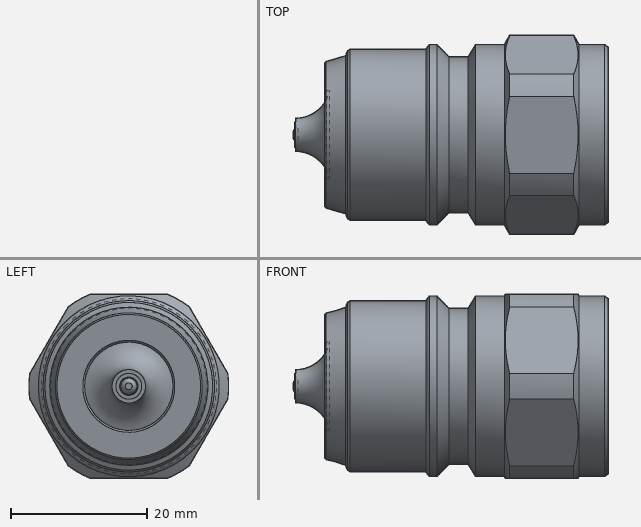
import cadquery as cq
import math

length = 46.2

nose_x = 0.35
nose_radius = 2.45
seat_x = 0.25
seat_outer_radius = 1.9
seat_inner_radius = 1.35
poppet_radius = 1.3
poppet_base_x = 0.7
poppet_flat_radius = 0.5
flare_radius = 5.1

face_x = 4.6
recess_mouth_radius = 6.75
recess_radius = 6.45
recess_lead = 0.3

face_radius = 10.55
face_edge_x = 4.85
taper_start_radius = 10.75
taper_end_radius = 11.6
taper_end_x = 7.65
shoulder_x = 7.95

sleeve_radius = 12.55
sleeve_edge_x = 8.35
sleeve_edge_radius = 12.3
sleeve_end_x = 19.45
body_radius = 13.25
collar_x = 19.75
collar_chamfer = 0.25
collar_end_x = 21.05
groove_radius = 11.45
groove_start_x = 22.8
groove_end_x = 25.65
rear_body_x = 26.75
rear_chamfer_length = 0.55
rear_chamfer_depth = 0.4

hex_start_x = 30.95
hex_end_x = 41.9
hex_across_flats = 27.0
hex_corner_radius = 14.65
hex_chamfer_length = 0.8


def poppet_point(x):
    """Point of the spherical poppet at a given station along the axis."""
    centre_x = math.sqrt(poppet_radius**2 - poppet_flat_radius**2)
    return (x, math.sqrt(poppet_radius**2 - (centre_x - x)**2))


def flare_point(radius):
    """Point of the nose flare at a given distance from the axis."""
    drop = nose_radius + flare_radius - radius
    return (nose_x + math.sqrt(flare_radius**2 - drop**2), radius)


def revolve_about_x(profile):
    return profile.close().revolve(360, (0, 0, 0), (1, 0, 0))


def make_body():
    recess_floor_x = flare_point(recess_radius)[0]
    profile = (
        cq.Workplane("XY")
        .moveTo(0, 0)
        .lineTo(0, poppet_flat_radius)
        .threePointArc(poppet_point(poppet_base_x / 2), poppet_point(poppet_base_x))
        .lineTo(poppet_base_x, seat_inner_radius)
        .lineTo(seat_x, seat_inner_radius)
        .lineTo(seat_x, seat_outer_radius)
        .lineTo(nose_x, seat_outer_radius)
        .lineTo(nose_x, nose_radius)
        .threePointArc(flare_point((nose_radius + recess_radius) / 2), (recess_floor_x, recess_radius))
        .lineTo(face_x + recess_lead, recess_radius)
        .lineTo(face_x, recess_mouth_radius)
        .lineTo(face_x, face_radius)
        .lineTo(face_edge_x, taper_start_radius)
        .lineTo(taper_end_x, taper_end_radius)
        .lineTo(shoulder_x, sleeve_edge_radius)
        .lineTo(sleeve_edge_x, sleeve_radius)
        .lineTo(sleeve_end_x, sleeve_radius)
        .lineTo(collar_x, body_radius - collar_chamfer)
        .lineTo(collar_x + collar_chamfer, body_radius)
        .lineTo(collar_end_x, body_radius)
        .lineTo(groove_start_x, groove_radius)
        .lineTo(groove_end_x, groove_radius)
        .lineTo(rear_body_x, body_radius)
        .lineTo(length - rear_chamfer_length, body_radius)
        .lineTo(length, body_radius - rear_chamfer_depth)
        .lineTo(length, 0)
    )
    return revolve_about_x(profile)


def make_hexagon():
    """Hexagon with flats at +Z and -Z, its corners turned and chamfered."""
    prism = (
        cq.Workplane("YZ", origin=(hex_start_x, 0, 0))
        .polygon(6, hex_across_flats / math.cos(math.pi / 6))
        .extrude(hex_end_x - hex_start_x)
    )
    blank = revolve_about_x(
        cq.Workplane("XY")
        .moveTo(hex_start_x, 0)
        .lineTo(hex_start_x, body_radius)
        .lineTo(hex_start_x + hex_chamfer_length, hex_corner_radius)
        .lineTo(hex_end_x - hex_chamfer_length, hex_corner_radius)
        .lineTo(hex_end_x, body_radius)
        .lineTo(hex_end_x, 0)
    )
    return prism.intersect(blank)


result = make_body().union(make_hexagon())